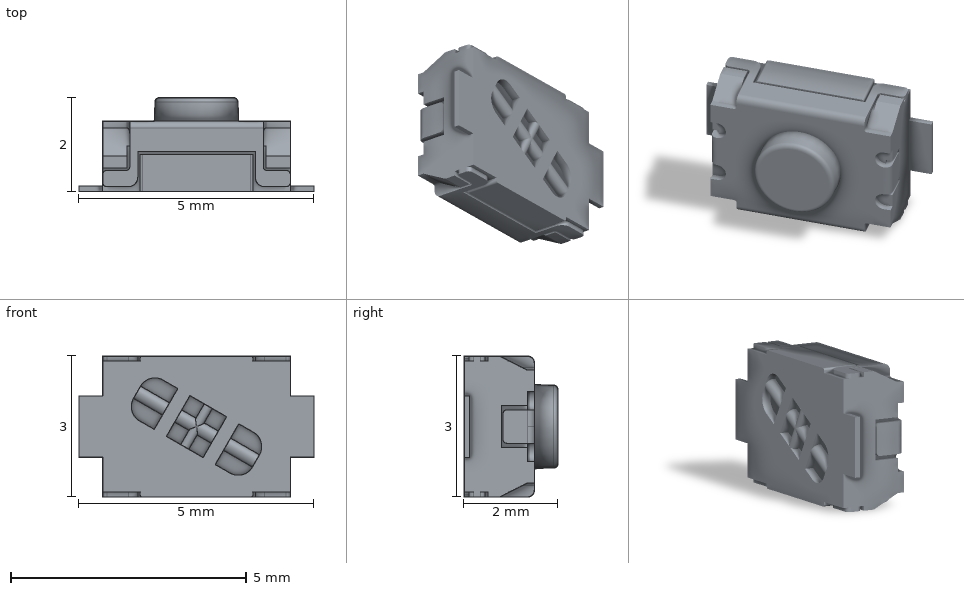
import cadquery as cq


QUARTER_TURN = 90
FULL_TURN = 360

HALF_LENGTH = 2.0
HALF_HEIGHT = 1.5
DEPTH = 1.5
PLATE_THICKNESS = 0.15
PLATE_HALF_HEIGHT = 1.2
PLATE_BACK = DEPTH - PLATE_THICKNESS
SLOPE_START = 0.757
BLOCK_START = 0.507

LEG_THICKNESS = 0.105
LEDGE_HEIGHT = HALF_HEIGHT - LEG_THICKNESS
LEG_OUTER = 1.42
LEG_INNER = 1.25
BRIDGE_EDGE = 0.857
FOOT_BACK = 0.45
FOOT_FRONT = 0.105
FOOT_TIP_RADIUS = 0.095
FOOT_INSIDE_RADIUS = 0.075
FOOT_OUTSIDE_RADIUS = 0.2
GAP = 0.055
BLOCK_INNER = LEG_OUTER + GAP

PAD_HALF_LENGTH = 1.2
PAD_DEPTH = 0.793
PAD_EDGE_RADIUS = 0.05

TAB_HALF_WIDTH = 0.355
TAB_FRONT = 0.83
TAB_CORNER_RADIUS = 0.08
TAB_THICKNESS = PLATE_THICKNESS
RECESS_HALF_WIDTH = 0.445
RECESS_FRONT = 0.797
NOTCH_RADIUS = 0.195
NOTCH_CENTRE = TAB_HALF_WIDTH + NOTCH_RADIUS

TERMINAL_HALF_LENGTH = 2.5
TERMINAL_HALF_WIDTH = 0.655
TERMINAL_THICKNESS = 0.12

PLUNGER_TIP = 2.0
PLUNGER_BASE_RADIUS = 0.9
PLUNGER_TIP_RADIUS = 0.88
PLUNGER_EDGE_RADIUS = 0.1

POCKET_TILT = 30
POCKET_WIDTH = 1.0
POCKET_DEPTH = 0.2
CENTRE_POCKET_LENGTH = 0.9
END_POCKET_START = 0.75
END_POCKET_END = 1.46
END_POCKET_RADIUS = 0.35
LONG_RIB_RADIUS = 0.15
CROSS_RIB_RADIUS = 0.1


def box(x_range, y_range, z_range):
    """Axis-aligned box from (low, high) pairs."""
    ranges = (x_range, y_range, z_range)
    lows = [low for low, high in ranges]
    sizes = [high - low for low, high in ranges]
    return cq.Workplane("XY").box(*sizes, centered=False).translate(tuple(lows))


def centred(half):
    """Range reaching the same distance to both sides of zero."""
    return (-half, half)


def turned_about_y(shape, angle):
    return shape.rotate((0, 0, 0), (0, 1, 0), angle)


def both_ends(shape):
    """The shape together with its mirror image across X = 0."""
    return shape.union(shape.mirror("YZ"))


def make_housing():
    half_profile = [
        (0, 0),
        (0, HALF_HEIGHT),
        (SLOPE_START, HALF_HEIGHT),
        (PLATE_BACK, PLATE_HALF_HEIGHT),
        (DEPTH, PLATE_HALF_HEIGHT),
        (DEPTH, 0),
    ]
    envelope = (
        cq.Workplane("YZ").polyline(half_profile).mirrorX().extrude(HALF_LENGTH, both=True)
    )
    core = envelope.intersect(
        box(centred(HALF_LENGTH), (0, DEPTH), centred(LEDGE_HEIGHT))
    )
    blocks = envelope.intersect(
        both_ends(box((BLOCK_INNER, HALF_LENGTH), (BLOCK_START, DEPTH), centred(HALF_HEIGHT)))
    )
    return core.union(blocks)


def make_cover():
    """Cover bridge and feet, running through the housing from -Z to +Z."""
    bridge = box(centred(LEG_OUTER), (BRIDGE_EDGE, DEPTH), centred(HALF_HEIGHT))
    bridge = bridge.edges("|X and >Y").fillet(PLATE_THICKNESS)

    leg_outline = [
        (LEG_INNER, BRIDGE_EDGE),
        (LEG_INNER, FOOT_FRONT),
        (HALF_LENGTH, FOOT_FRONT),
        (HALF_LENGTH, FOOT_BACK),
        (LEG_OUTER, FOOT_BACK),
        (LEG_OUTER, BRIDGE_EDGE),
    ]
    leg = cq.Workplane("XY").polyline(leg_outline).close().extrude(HALF_HEIGHT, both=True)
    leg = leg.edges("|Z and >X").fillet(FOOT_TIP_RADIUS)

    def leg_corner(x, y):
        return cq.selectors.NearestToPointSelector((x, y, 0))

    leg = leg.edges(leg_corner(LEG_INNER, FOOT_FRONT)).fillet(FOOT_OUTSIDE_RADIUS)
    leg = leg.edges(leg_corner(LEG_OUTER, FOOT_BACK)).fillet(FOOT_INSIDE_RADIUS)
    return bridge.union(both_ends(leg))


def make_plate_corners():
    """Concave fillets where the sides of the bridge meet the edge of the top plate."""
    corner = box(
        (LEG_OUTER, BLOCK_INNER),
        (SLOPE_START, DEPTH),
        centred(PLATE_HALF_HEIGHT + GAP),
    )
    for side in (-1, 1):
        rounding = (
            cq.Workplane("XZ", origin=(BLOCK_INNER, 0, side * (PLATE_HALF_HEIGHT + GAP)))
            .circle(GAP)
            .extrude(-DEPTH)
        )
        corner = corner.cut(rounding)
    return both_ends(corner)


def make_pad():
    pad = box(centred(PAD_HALF_LENGTH), (0, PAD_DEPTH), centred(HALF_HEIGHT))
    return pad.edges("|Y").fillet(PAD_EDGE_RADIUS)


def make_terminals():
    return box(
        centred(TERMINAL_HALF_LENGTH),
        (0, TERMINAL_THICKNESS),
        centred(TERMINAL_HALF_WIDTH),
    )


def make_tab_recesses():
    """Side pockets around the tabs, with round-ended relief notches through the plate."""
    recess = box(
        (HALF_LENGTH - TAB_THICKNESS, HALF_LENGTH),
        (RECESS_FRONT, PLATE_BACK),
        centred(RECESS_HALF_WIDTH),
    )
    for side in (-1, 1):
        notch = (
            cq.Workplane("XZ", origin=(HALF_LENGTH, PLATE_BACK, side * NOTCH_CENTRE))
            .slot2D(2 * (TAB_THICKNESS + NOTCH_RADIUS), 2 * NOTCH_RADIUS)
            .extrude(-PLATE_THICKNESS)
        )
        recess = recess.union(notch)
    return both_ends(recess)


def make_tabs():
    """Flush tabs bent down from the plate."""
    tab = box(
        (HALF_LENGTH - TAB_THICKNESS, HALF_LENGTH),
        (TAB_FRONT, DEPTH),
        centred(TAB_HALF_WIDTH),
    )
    return both_ends(tab.edges("|X and <Y").fillet(TAB_CORNER_RADIUS))


def make_bend_trim():
    """Material outside the round bend between the plate and each tab."""
    bend_x = HALF_LENGTH - PLATE_THICKNESS
    trim = box((bend_x, HALF_LENGTH), (PLATE_BACK, DEPTH), centred(TAB_HALF_WIDTH))
    bend = (
        cq.Workplane("XY", origin=(bend_x, PLATE_BACK, 0))
        .circle(PLATE_THICKNESS)
        .extrude(TAB_HALF_WIDTH, both=True)
    )
    return both_ends(trim.cut(bend))


def make_plunger():
    plunger = (
        cq.Workplane("XY")
        .moveTo(0, DEPTH)
        .lineTo(-PLUNGER_BASE_RADIUS, DEPTH)
        .lineTo(-PLUNGER_TIP_RADIUS, PLUNGER_TIP)
        .lineTo(0, PLUNGER_TIP)
        .close()
        .revolve(FULL_TURN, (0, 0, 0), (0, 1, 0))
    )
    return plunger.faces(">Y").edges().fillet(PLUNGER_EDGE_RADIUS)


def make_rib(radius, length):
    """Rib along X, rising from the pocket floor to a round crest at Y = 0."""
    crest = cq.Workplane("YZ", origin=(0, radius, 0)).circle(radius).extrude(length / 2, both=True)
    web = box(centred(length / 2), (radius, POCKET_DEPTH), centred(radius))
    return crest.union(web)


def make_pockets():
    """Three pockets in a slanted row, hollow except for their ribs."""
    half_width = POCKET_WIDTH / 2
    pockets = box(centred(CENTRE_POCKET_LENGTH / 2), (0, POCKET_DEPTH), centred(half_width))
    end_pocket = box(
        (END_POCKET_START, END_POCKET_END), (0, POCKET_DEPTH), centred(half_width)
    )
    end_pocket = end_pocket.edges("|Y and >X").fillet(END_POCKET_RADIUS)
    pockets = pockets.union(both_ends(end_pocket))
    pockets = pockets.cut(make_rib(LONG_RIB_RADIUS, 2 * END_POCKET_END))
    cross_rib = make_rib(CROSS_RIB_RADIUS, POCKET_WIDTH)
    pockets = pockets.cut(turned_about_y(cross_rib, QUARTER_TURN))
    return turned_about_y(pockets, POCKET_TILT)


result = (
    make_housing()
    .union(make_cover())
    .union(make_plate_corners())
    .union(make_pad())
    .union(make_terminals())
    .cut(make_tab_recesses())
    .union(make_tabs())
    .cut(make_bend_trim())
    .union(make_plunger())
    .cut(make_pockets())
)